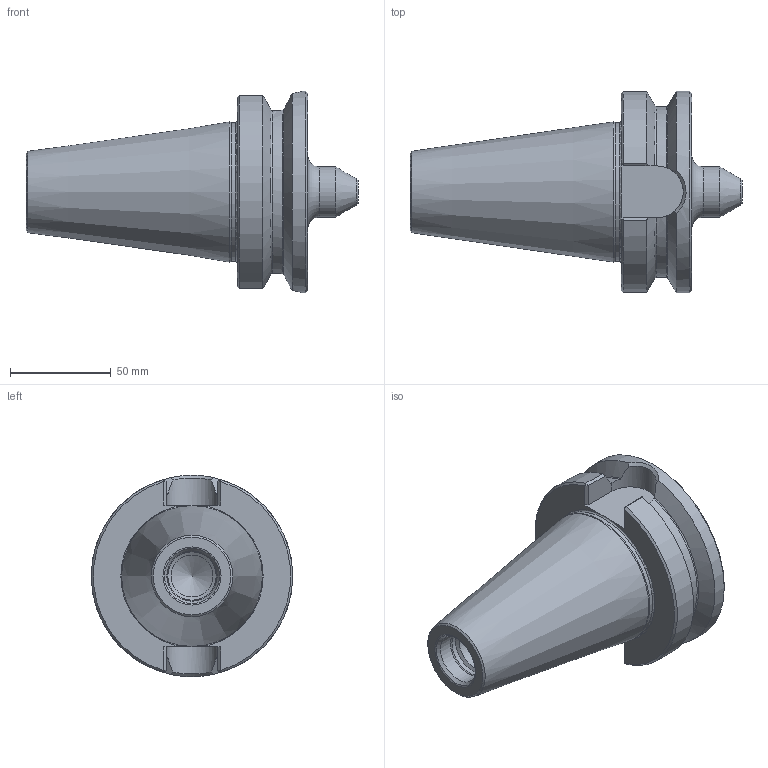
import cadquery as cq
import math


TAPER_RATIO = 7 / 24
GAUGE_DIAMETER = 69.85
GAUGE_X = -3.0
TAPER_LENGTH = 101.8
TAPER_END_X = -3.8
SHANK_CHAMFER = 0.8
COLLAR_RADIUS = 34.5
COLLAR_X = -2.8
COLLAR_FILLET = 0.8

FLANGE_RADIUS = 50.0
FLANGE_WIDTH = 35.0
FLANGE_CHAMFER = 1.0
GROOVE_ROOT_RADIUS = 42.4
GROOVE_WALL_ANGLE = 30.0
GROOVE_REAR_X = 12.6
GROOVE_FRONT_X = 27.4
GROOVE_FILLET = 0.7

NOSE_LENGTH = 25.0
NOSE_RADIUS = 12.5
NOSE_FILLET = 6.0
NOSE_CONE_X = 14.0
NOSE_CONE_ANGLE = 30.0
NOSE_TIP_BEVEL = 0.8

MOUTH_RADIUS = 14.4
CENTRE_RADIUS = 13.7
CENTRE_DEPTH = 0.3
BORE_RADIUS = 12.5
BORE_START_DEPTH = 2.0
BORE_DEPTH = 9.0
THREAD_RADIUS = 12.0
THREAD_START_DEPTH = 9.6
THREAD_DEPTH = 12.0
DRILL_RADIUS = 10.4
DRILL_START_DEPTH = 13.0
DRILL_DEPTH = 50.0
DRILL_POINT_ANGLE = 118.0

SLOT_WIDTH = 25.7
SLOT_FLOOR_Z = 35.2
SLOT_CENTRE_X = 18.0
SLOT_OVERRUN = 1.0
SLOT_CHAMFER = 1.4

EDGE_MARGIN = 0.1
ROOT_MARGIN = 1.0

shank_x = GAUGE_X - TAPER_LENGTH
nose_x = FLANGE_WIDTH + NOSE_LENGTH


def taper_radius(x):
    """Radius of the taper cone at position x."""
    return GAUGE_DIAMETER / 2 + (x - GAUGE_X) * TAPER_RATIO / 2


def revolve_about_axis(profile):
    """Turn a closed half profile about the spindle axis."""
    return profile.revolve(360, (0, 0, 0), (1, 0, 0))


def make_body():
    """Turned blank: shank, collar, grooved flange and nose."""
    wall_run = (FLANGE_RADIUS - GROOVE_ROOT_RADIUS) * math.tan(math.radians(GROOVE_WALL_ANGLE))
    cone_x = FLANGE_WIDTH + NOSE_CONE_X
    bevel_x = nose_x - NOSE_TIP_BEVEL
    tip_radius = NOSE_RADIUS - (bevel_x - cone_x) * math.tan(math.radians(NOSE_CONE_ANGLE))
    profile = (
        cq.Workplane("XY")
        .moveTo(shank_x, 0)
        .lineTo(shank_x, taper_radius(shank_x) - SHANK_CHAMFER)
        .lineTo(shank_x + SHANK_CHAMFER, taper_radius(shank_x + SHANK_CHAMFER))
        .lineTo(TAPER_END_X, taper_radius(TAPER_END_X))
        .lineTo(COLLAR_X, COLLAR_RADIUS)
        .lineTo(-COLLAR_FILLET, COLLAR_RADIUS)
        .radiusArc((0, COLLAR_RADIUS + COLLAR_FILLET), -COLLAR_FILLET)
        .lineTo(0, FLANGE_RADIUS - FLANGE_CHAMFER)
        .lineTo(FLANGE_CHAMFER, FLANGE_RADIUS)
        .lineTo(GROOVE_REAR_X, FLANGE_RADIUS)
        .lineTo(GROOVE_REAR_X + wall_run, GROOVE_ROOT_RADIUS)
        .lineTo(GROOVE_FRONT_X - wall_run, GROOVE_ROOT_RADIUS)
        .lineTo(GROOVE_FRONT_X, FLANGE_RADIUS)
        .lineTo(FLANGE_WIDTH - FLANGE_CHAMFER, FLANGE_RADIUS)
        .lineTo(FLANGE_WIDTH, FLANGE_RADIUS - FLANGE_CHAMFER)
        .lineTo(FLANGE_WIDTH, NOSE_RADIUS + NOSE_FILLET)
        .radiusArc((FLANGE_WIDTH + NOSE_FILLET, NOSE_RADIUS), -NOSE_FILLET)
        .lineTo(cone_x, NOSE_RADIUS)
        .lineTo(bevel_x, tip_radius)
        .lineTo(nose_x, tip_radius - NOSE_TIP_BEVEL)
        .lineTo(nose_x, 0)
        .close()
    )
    root_corners = cq.selectors.BoxSelector(
        (GROOVE_REAR_X + ROOT_MARGIN, -FLANGE_RADIUS, -FLANGE_RADIUS),
        (GROOVE_FRONT_X - ROOT_MARGIN, FLANGE_RADIUS, FLANGE_RADIUS),
        boundingbox=True,
    )
    return revolve_about_axis(profile).edges(root_corners).edges("%CIRCLE").fillet(GROOVE_FILLET)


def make_bore():
    """Stepped drawbar hole with a countersunk mouth and a drill point at the bottom."""
    point_length = DRILL_RADIUS / math.tan(math.radians(DRILL_POINT_ANGLE / 2))
    profile = (
        cq.Workplane("XY")
        .moveTo(shank_x, 0)
        .lineTo(shank_x, MOUTH_RADIUS)
        .lineTo(shank_x + CENTRE_DEPTH, CENTRE_RADIUS)
        .lineTo(shank_x + BORE_START_DEPTH, BORE_RADIUS)
        .lineTo(shank_x + BORE_DEPTH, BORE_RADIUS)
        .lineTo(shank_x + THREAD_START_DEPTH, THREAD_RADIUS)
        .lineTo(shank_x + THREAD_DEPTH, THREAD_RADIUS)
        .lineTo(shank_x + DRILL_START_DEPTH, DRILL_RADIUS)
        .lineTo(shank_x + DRILL_DEPTH, DRILL_RADIUS)
        .lineTo(shank_x + DRILL_DEPTH + point_length, 0)
        .close()
    )
    return revolve_about_axis(profile)


def make_slot():
    """Cutter for the top drive slot, open to the rear and rounded at the front."""
    half = SLOT_WIDTH / 2
    return (
        cq.Workplane("XY", origin=(0, 0, SLOT_FLOOR_Z))
        .moveTo(-SLOT_OVERRUN, -half)
        .lineTo(SLOT_CENTRE_X, -half)
        .threePointArc((SLOT_CENTRE_X + half, 0), (SLOT_CENTRE_X, half))
        .lineTo(-SLOT_OVERRUN, half)
        .close()
        .extrude(FLANGE_RADIUS)
    )


def chamfer_slot_rims(part):
    """Break the slot edges on both flange rims, at the top (+Z) and bottom (-Z) slots."""
    half = SLOT_WIDTH / 2
    for side in (1, -1):
        floor_z = side * (SLOT_FLOOR_Z - EDGE_MARGIN)
        outer_z = side * (FLANGE_RADIUS + EDGE_MARGIN)
        front_rim = cq.selectors.BoxSelector(
            (GROOVE_FRONT_X - EDGE_MARGIN, -half, floor_z),
            (FLANGE_WIDTH - FLANGE_CHAMFER, half, outer_z),
            boundingbox=True,
        )
        part = part.edges(front_rim).chamfer(SLOT_CHAMFER)
        for wall_y in (half, -half):
            rear_rim = cq.selectors.BoxSelector(
                (-EDGE_MARGIN, wall_y - EDGE_MARGIN, floor_z),
                (GROOVE_REAR_X + EDGE_MARGIN, wall_y + EDGE_MARGIN, outer_z),
                boundingbox=True,
            )
            part = part.edges(rear_rim).chamfer(SLOT_CHAMFER)
    return part


top_slot = make_slot()
bottom_slot = top_slot.rotate((0, 0, 0), (1, 0, 0), 180)
slotted = make_body().cut(make_bore()).cut(top_slot).cut(bottom_slot)
result = chamfer_slot_rims(slotted)